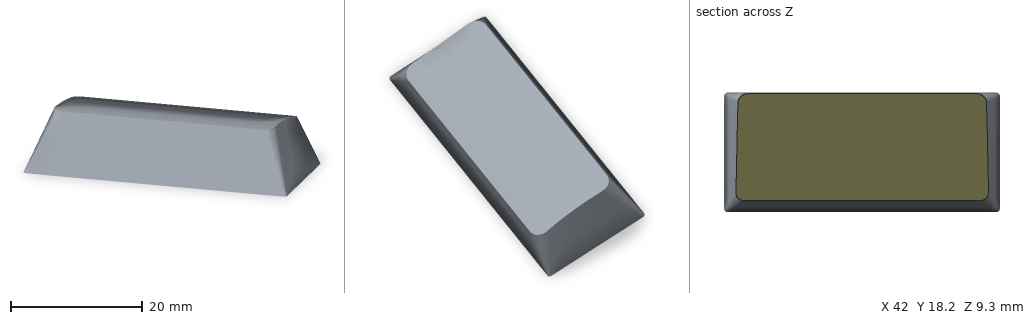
import cadquery as cq
import math

length = 42.0
width = 18.2
base_corner_radius = 0.4

total_height = 9.3
crown_radius = 45.35
crown_peak_y = -4.6

upper_length = 34.78
upper_corner_radius = 2.15
upper_front_y = -5.25
upper_front_z = 10.1
upper_rear_y = 9.0
upper_rear_z = 8.0


def rounded_rectangle(size_x, size_y, corner_radius):
    return cq.Sketch().rect(size_x, size_y).vertices().fillet(corner_radius)


def tapered_blank():
    """Ruled loft from the flat footprint to the sloping upper outline."""
    run = upper_rear_y - upper_front_y
    drop = upper_front_z - upper_rear_z
    upper_width = math.hypot(run, drop)
    upper_centre = (0, (upper_front_y + upper_rear_y) / 2, (upper_front_z + upper_rear_z) / 2)
    upper_plane = cq.Plane(origin=upper_centre, xDir=(1, 0, 0), normal=(0, drop, run))

    base = rounded_rectangle(length, width, base_corner_radius)
    upper = rounded_rectangle(upper_length, upper_width, upper_corner_radius)
    upper = upper.moved(cq.Location(upper_plane))
    return cq.Workplane("XY").placeSketch(base, upper).loft(ruled=True)


def crown_cylinder():
    """Long cylinder along X whose highest line sets the height of the part."""
    return (
        cq.Workplane("YZ")
        .center(crown_peak_y, total_height - crown_radius)
        .circle(crown_radius)
        .extrude(length, both=True)
    )


result = tapered_blank().intersect(crown_cylinder())